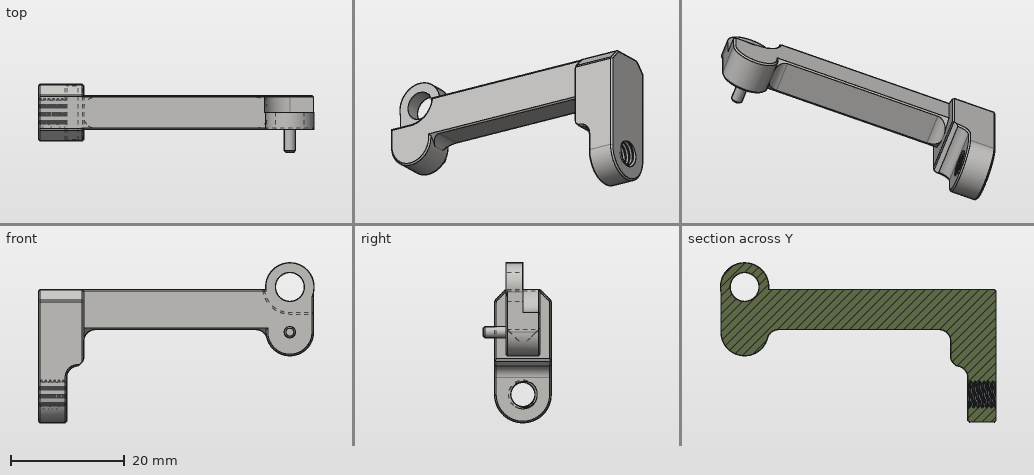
import cadquery as cq
import math

total_length = 48.5
total_height = 28.2
edge_chamfer = 0.3
cut_margin = 0.5
corner_radius = 2.0

block_length = 8.0
block_width = 10.0
block_height = 23.5
block_end_radius = block_width / 2
foot_thickness = 5.0
step_height = 10.0
corner_bevel = 0.2

thread_minor_radius = 4.2 / 2
thread_major_radius = 5.05 / 2
thread_pitch = 0.8
thread_root_width = 0.15
thread_mouth_width = 0.65
thread_start_angle = -60
thread_overrun = 0.05

arm_width = 6.0
arm_depth = 7.1
arm_bottom = block_height - arm_depth
lobe_radius = 4.15
pin_height = 15.95

ring_radius = 4.25
ring_hole_diameter = 5.05
ring_width = arm_width / 2
ring_x = total_length - ring_radius
ring_z = total_height - ring_radius
clearance_radius = 4.5

pin_diameter = 2.0
pin_tip_y = -7.0


def y_prism(outline, y_min, y_max):
    """Extrude an XZ wire between two Y positions."""
    return outline.extrude(y_max - y_min).translate((0, y_max, 0))


def make_block():
    half = block_width / 2
    flat = half - corner_radius
    block = (
        cq.Workplane("YZ")
        .moveTo(-half, block_end_radius)
        .threePointArc((0, 0), (half, block_end_radius))
        .lineTo(half, block_height - corner_radius)
        .lineTo(flat, block_height)
        .lineTo(-flat, block_height)
        .lineTo(-half, block_height - corner_radius)
        .close()
        .extrude(block_length)
    )
    upper = cq.selectors.BoxSelector(
        (-cut_margin, -half - cut_margin, block_height - corner_radius - cut_margin),
        (block_length + cut_margin, half + cut_margin, block_height + cut_margin),
    )
    block = block.edges("|X").edges(upper).chamfer(corner_bevel)

    bevel = block_length - foot_thickness - corner_radius
    mid = corner_radius * (1 - math.sqrt(0.5))
    arc_start_z = step_height - corner_radius
    relief = (
        cq.Workplane("XZ")
        .moveTo(foot_thickness, -cut_margin)
        .lineTo(foot_thickness, arc_start_z)
        .threePointArc(
            (foot_thickness + mid, step_height - mid),
            (foot_thickness + corner_radius, step_height),
        )
        .lineTo(block_length, step_height + bevel)
        .lineTo(block_length + cut_margin, step_height + bevel)
        .lineTo(block_length + cut_margin, -cut_margin)
        .close()
    )
    block = block.cut(y_prism(relief, -block_width, block_width))
    foot_rim = block.faces(cq.selectors.NearestToPointSelector((foot_thickness, 0, block_end_radius)))
    outer_rims = block.faces("<X or >X").edges().add(foot_rim.edges("not |Y"))
    return outer_rims.chamfer(edge_chamfer)


def make_arm():
    half = arm_width / 2
    arm_start = block_length / 2
    arm = y_prism(
        cq.Workplane("XZ")
        .moveTo(arm_start, block_height)
        .lineTo(ring_x + lobe_radius, block_height)
        .lineTo(ring_x + lobe_radius, pin_height)
        .threePointArc((ring_x, pin_height - lobe_radius), (ring_x - lobe_radius, pin_height))
        .lineTo(ring_x - lobe_radius, arm_bottom)
        .lineTo(arm_start, arm_bottom)
        .close(),
        -half,
        half,
    )
    arm = arm.faces("<Y").edges().chamfer(edge_chamfer)
    relief = (
        cq.Workplane("XZ")
        .center(ring_x, ring_z)
        .circle(clearance_radius)
        .extrude(-arm_width)
        .union(
            cq.Workplane("XY")
            .box(2 * clearance_radius, arm_width, 2 * clearance_radius, centered=(False, False, True))
            .translate((ring_x, 0, ring_z))
        )
    )
    return arm.cut(relief).faces(">Y").edges().chamfer(edge_chamfer)


def make_webs():
    """Fillets below the arm, bevelled by the continuation of the arm's lower chamfers."""
    center_z = arm_bottom - corner_radius
    reach = lobe_radius + corner_radius
    center_x = ring_x - math.sqrt(reach**2 - (pin_height - center_z) ** 2)
    touch = lobe_radius / reach
    touch_x = ring_x + (center_x - ring_x) * touch
    touch_z = pin_height + (center_z - pin_height) * touch
    middle = math.radians(45)
    left_center_x = block_length + corner_radius
    half = arm_width / 2

    left = (
        cq.Workplane("XZ")
        .moveTo(left_center_x, arm_bottom)
        .threePointArc(
            (left_center_x - corner_radius * math.cos(middle), center_z + corner_radius * math.sin(middle)),
            (block_length, center_z),
        )
        .lineTo(block_length - 2 * edge_chamfer, center_z)
        .lineTo(block_length - 2 * edge_chamfer, arm_bottom + edge_chamfer)
        .lineTo(left_center_x, arm_bottom + edge_chamfer)
        .close()
    )
    touch_angle = math.atan2(touch_z - center_z, touch_x - center_x)
    arc_angle = (touch_angle + math.radians(90)) / 2
    right = (
        cq.Workplane("XZ")
        .moveTo(center_x, arm_bottom)
        .threePointArc(
            (center_x + corner_radius * math.cos(arc_angle), center_z + corner_radius * math.sin(arc_angle)),
            (touch_x, touch_z),
        )
        .lineTo(ring_x, touch_z)
        .lineTo(ring_x, arm_bottom + edge_chamfer)
        .lineTo(center_x, arm_bottom + edge_chamfer)
        .close()
    )
    narrow = half - edge_chamfer - corner_radius
    bevelled_limits = (
        cq.Workplane("YZ")
        .polyline([
            (-narrow, center_z),
            (narrow, center_z),
            (half, arm_bottom + edge_chamfer),
            (-half, arm_bottom + edge_chamfer),
        ])
        .close()
        .extrude(total_length)
    )
    webs = y_prism(left, -half, half).union(y_prism(right, -half, half))
    return webs.intersect(bevelled_limits)


def make_ring():
    return cq.Workplane("XZ").center(ring_x, ring_z).circle(ring_radius).extrude(ring_width)


def make_pin():
    pin = cq.Workplane("XZ").center(ring_x, pin_height).circle(pin_diameter / 2).extrude(-pin_tip_y)
    return pin.faces("<Y").chamfer(edge_chamfer)


def make_threaded_bore():
    bore = cq.Workplane("YZ").circle(thread_minor_radius).extrude(foot_thickness)
    inner_radius = thread_minor_radius - thread_overrun
    half_mouth = thread_mouth_width / 2
    half_root = thread_root_width / 2
    groove_profile = (
        cq.Workplane("XZ")
        .polyline([
            (inner_radius, -half_mouth),
            (thread_major_radius, -half_root),
            (thread_major_radius, half_root),
            (inner_radius, half_mouth),
        ])
        .close()
    )
    helix = cq.Wire.makeHelix(thread_pitch, foot_thickness + 2 * thread_pitch, inner_radius)
    groove = (
        groove_profile.sweep(cq.Workplane(obj=helix), isFrenet=True)
        .rotate((0, 0, 0), (0, 1, 0), 90)
        .rotate((0, 0, 0), (1, 0, 0), thread_start_angle)
        .translate((-thread_pitch, 0, 0))
    )
    axis_offset = (0, 0, block_end_radius)
    return bore.translate(axis_offset), groove.translate(axis_offset)


ring_hole = (
    cq.Workplane("XZ").center(ring_x, ring_z).circle(ring_hole_diameter / 2).extrude(ring_width)
)
bore, thread_groove = make_threaded_bore()

result = (
    make_block()
    .cut(thread_groove)
    .cut(bore)
    .union(make_arm())
    .union(make_webs())
    .union(make_ring())
    .cut(ring_hole)
    .union(make_pin())
)